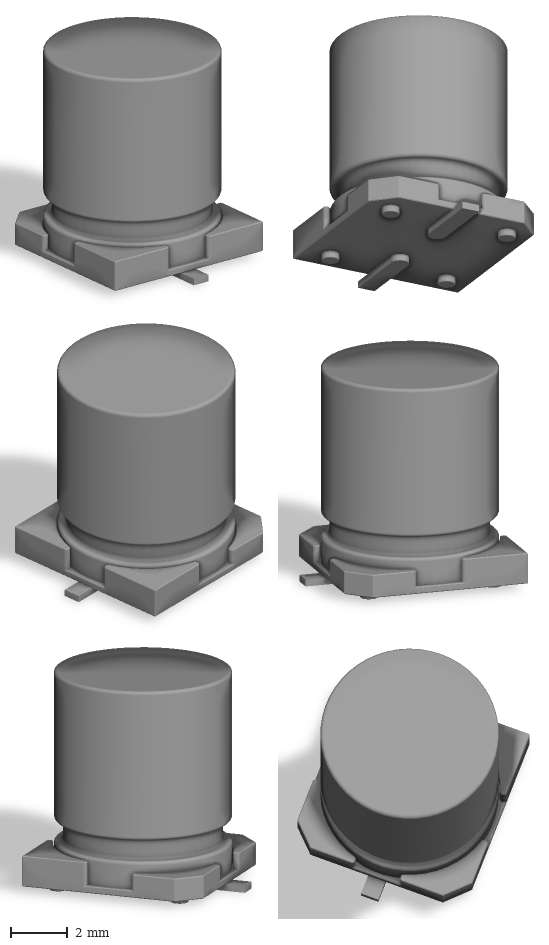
import cadquery as cq
import math

lead_span = 8.0
lead_inner_x = 1.1
lead_width = 0.66
lead_thickness = 0.25

foot_diameter = 0.63
foot_offset = 2.31
foot_edge_round = 0.03

base_side = 6.6
base_corner_cut = 0.8
base_side_round = 0.04
base_edge_chamfer = 0.03
base_bottom = lead_thickness
seat_floor = 0.5
low_block_top = 1.1
high_block_top = 1.37
seat_radius = 3.18
gap_width = 1.71
block_corner_round = 0.12

can_diameter = 6.3
groove_diameter = 5.67
can_top = 7.7
groove_bottom = 1.49
groove_top = 2.26
can_edge_round = 0.12


def make_leads():
    """Two strips along X, mirrored about the YZ plane."""
    end_radius = lead_width / 2
    outer_x = lead_span / 2
    straight_x = lead_inner_x + end_radius
    lead = (
        cq.Workplane("XY")
        .moveTo(outer_x, -end_radius)
        .lineTo(straight_x, -end_radius)
        .threePointArc((lead_inner_x, 0), (straight_x, end_radius))
        .lineTo(outer_x, end_radius)
        .close()
        .extrude(lead_thickness)
    )
    return lead.union(lead.mirror("YZ"))


def make_feet():
    """Four feet with rounded lower edges."""
    return (
        cq.Workplane("XY")
        .rect(2 * foot_offset, 2 * foot_offset, forConstruction=True)
        .vertices()
        .circle(foot_diameter / 2)
        .extrude(base_bottom)
        .faces("<Z")
        .edges()
        .fillet(foot_edge_round)
    )


def base_outline(top):
    """The base outline from its underside up to a given height, with both -X corners cut."""
    return (
        cq.Workplane("XY", origin=(0, 0, base_bottom))
        .rect(base_side, base_side)
        .extrude(top - base_bottom)
        .edges("|Z and <X")
        .chamfer(base_corner_cut)
        .edges("|Z")
        .fillet(base_side_round)
    )


def make_corner_block(x_sign, y_sign, top):
    """A corner block outside the seat circle, with rounded sides next to the gaps."""
    foot = seat_floor - base_edge_chamfer
    near = gap_width / 2
    far = base_side / 2
    reach = math.sqrt(seat_radius**2 - near**2)
    middle = seat_radius * math.sqrt(0.5)
    block = (
        cq.Workplane("XY", origin=(0, 0, foot))
        .moveTo(x_sign * near, y_sign * far)
        .lineTo(x_sign * far, y_sign * far)
        .lineTo(x_sign * far, y_sign * near)
        .lineTo(x_sign * reach, y_sign * near)
        .threePointArc((x_sign * middle, y_sign * middle), (x_sign * near, y_sign * reach))
        .close()
        .extrude(top - foot)
    )
    for x, y in [(near, far), (far, near), (near, reach), (reach, near)]:
        edge_middle = (x_sign * x, y_sign * y, (foot + top) / 2)
        block = block.edges(cq.selectors.NearestToPointSelector(edge_middle)).fillet(block_corner_round)
    return block.intersect(base_outline(top)).faces(">Z").chamfer(base_edge_chamfer)


def make_base():
    """The plate with low corner blocks at -X and high ones at +X."""
    base = base_outline(seat_floor).faces("<Z or >Z").chamfer(base_edge_chamfer)
    for y_sign in (-1, 1):
        base = base.union(make_corner_block(-1, y_sign, low_block_top))
        base = base.union(make_corner_block(1, y_sign, high_block_top))
    return base


def make_can():
    """The can standing on the seat floor, with its top and groove edges rounded."""
    can = (
        cq.Workplane("XY", origin=(0, 0, seat_floor))
        .circle(can_diameter / 2)
        .extrude(can_top - seat_floor)
    )
    groove = (
        cq.Workplane("XY", origin=(0, 0, groove_bottom))
        .circle(can_diameter / 2)
        .circle(groove_diameter / 2)
        .extrude(groove_top - groove_bottom)
    )
    return can.cut(groove).edges("%CIRCLE and (not <Z)").fillet(can_edge_round)


result = make_base().union(make_leads()).union(make_feet()).union(make_can())